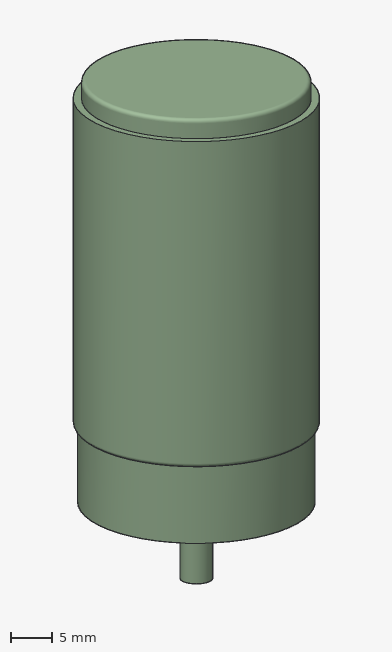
import cadquery as cq

total_length = 65.0
shaft_length = 10.0
collar_length = 10.0
cap_length = 2.5
body_length = total_length - shaft_length - collar_length - cap_length

shaft_diameter = 4.0
collar_diameter = 29.0
body_diameter = 30.0
cap_diameter = 28.0

body_edge_radius = (body_diameter - collar_diameter) / 2
cap_edge_radius = 0.5


def cylinder(diameter, length, base_z):
    """Upright cylinder on the Z axis, starting at base_z."""
    return cq.Workplane("XY").workplane(offset=base_z).circle(diameter / 2).extrude(length)


body_base = collar_length
cap_base = body_base + body_length

shaft = cylinder(shaft_diameter, shaft_length, -shaft_length)
collar = cylinder(collar_diameter, collar_length, 0)

body = cylinder(body_diameter, body_length, body_base).faces("<Z").edges().fillet(body_edge_radius)

cap = cylinder(cap_diameter, cap_length, cap_base).faces(">Z").edges().fillet(cap_edge_radius)

result = shaft.union(collar).union(body).union(cap)